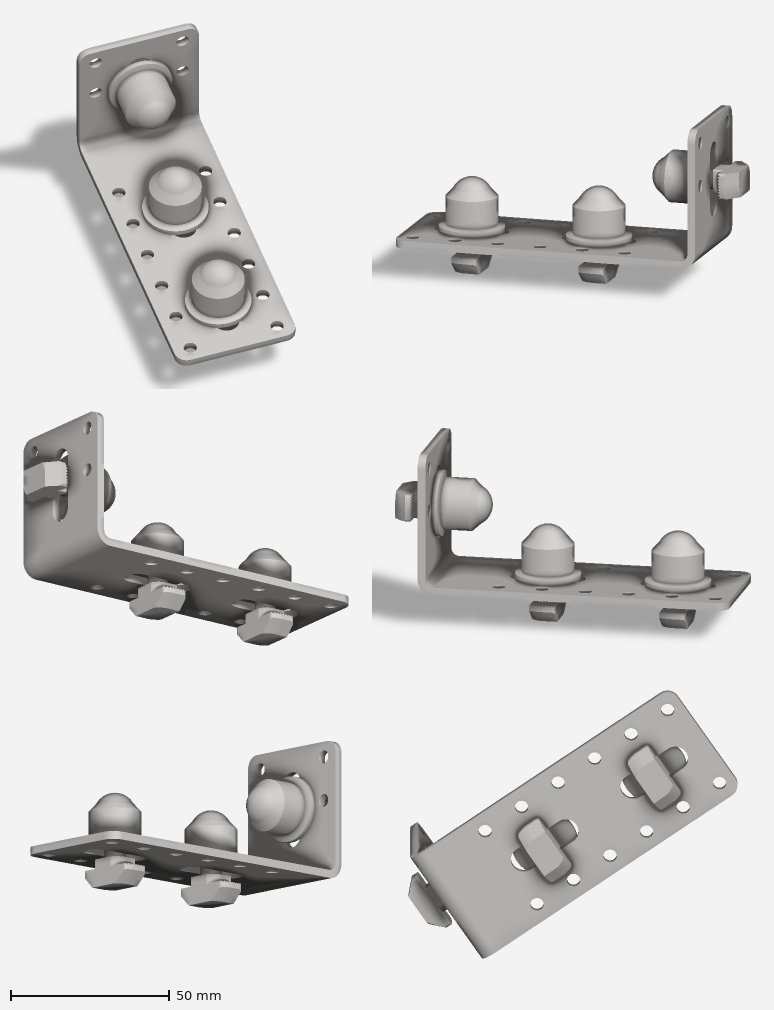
import cadquery as cq
import math

BASE_LENGTH = 100.0
WALL_HEIGHT = 45.0
BRACKET_WIDTH = 40.0
PLATE_THICKNESS = 2.5
BEND_OUTER_RADIUS = 5.0
BEND_INNER_RADIUS = BEND_OUTER_RADIUS - PLATE_THICKNESS
CORNER_RADIUS = 4.0

HOLE_DIAMETER = 4.2
HOLE_PITCH = 14.0
HOLE_END_MARGIN = 5.0
HOLE_ROW_SPACING = 29.0
BASE_HOLES_PER_ROW = 6
WALL_HOLES_PER_ROW = 2

SLOT_WIDTH = 8.0
SLOT_LENGTH = 24.2
BASE_SLOT_X = 37.9
BASE_SLOT_SPACING = 3 * HOLE_PITCH
BASE_SLOT_CENTRES = [BASE_SLOT_X, BASE_SLOT_X + BASE_SLOT_SPACING]
WALL_SLOT_Z = 25.0

FLANGE_DIAMETER = 21.0
FLANGE_RIM_HEIGHT = 1.7
KNOB_DIAMETER = 16.8
SHOULDER_TOP = 2.3
CYLINDER_TOP = 11.2
DOME_DIAMETER = 11.9
DOME_BASE = 13.9
KNOB_HEIGHT = 17.4

SCREW_DIAMETER = 6.5
NUT_GAP = 1.3

NUT_HEIGHT = 8.9
NUT_WIDTH = 8.5
NECK_LENGTH = 10.2
NECK_HEIGHT = 3.0
NECK_ROUND_RADIUS = 4.6
NECK_EDGE_RADIUS = 0.7
BAR_LENGTH = 19.7
BAR_SIDE_HEIGHT = 2.0
BAR_EDGE_RADIUS = 1.0
TOOTH_PITCH = 1.0
TOOTH_DEPTH = 0.7


def hole_centres(free_end, count):
    """Centres of both hole rows of a leg whose free end lies at the given distance."""
    return [
        (free_end - HOLE_END_MARGIN - step * HOLE_PITCH, side * HOLE_ROW_SPACING / 2)
        for step in range(count)
        for side in (-1, 1)
    ]


def make_bracket():
    profile = (
        cq.Workplane("XZ")
        .moveTo(BASE_LENGTH, 0)
        .lineTo(BEND_OUTER_RADIUS, 0)
        .radiusArc((0, BEND_OUTER_RADIUS), BEND_OUTER_RADIUS)
        .lineTo(0, WALL_HEIGHT)
        .lineTo(PLATE_THICKNESS, WALL_HEIGHT)
        .lineTo(PLATE_THICKNESS, BEND_OUTER_RADIUS)
        .radiusArc((BEND_OUTER_RADIUS, PLATE_THICKNESS), -BEND_INNER_RADIUS)
        .lineTo(BASE_LENGTH, PLATE_THICKNESS)
        .close()
    )
    bracket = profile.extrude(BRACKET_WIDTH / 2, both=True)
    bracket = bracket.faces(">X").edges("|Z").fillet(CORNER_RADIUS)
    bracket = bracket.faces(">Z").edges("|X").fillet(CORNER_RADIUS)

    base_cutter = (
        cq.Workplane("XY")
        .pushPoints(hole_centres(BASE_LENGTH, BASE_HOLES_PER_ROW))
        .circle(HOLE_DIAMETER / 2)
        .extrude(PLATE_THICKNESS)
        .pushPoints([(x, 0) for x in BASE_SLOT_CENTRES])
        .slot2D(SLOT_LENGTH, SLOT_WIDTH)
        .extrude(PLATE_THICKNESS)
    )
    wall_plane = cq.Plane(origin=(0, 0, 0), xDir=(0, 0, 1), normal=(1, 0, 0))
    wall_cutter = (
        cq.Workplane(wall_plane)
        .pushPoints(hole_centres(WALL_HEIGHT, WALL_HOLES_PER_ROW))
        .circle(HOLE_DIAMETER / 2)
        .extrude(PLATE_THICKNESS)
        .pushPoints([(WALL_SLOT_Z, 0)])
        .slot2D(SLOT_LENGTH, SLOT_WIDTH)
        .extrude(PLATE_THICKNESS)
    )
    return bracket.cut(base_cutter).cut(wall_cutter)




def make_knob():
    dome_radius = DOME_DIAMETER / 2
    dome_height = KNOB_HEIGHT - DOME_BASE
    sphere_radius = (dome_radius**2 + dome_height**2) / (2 * dome_height)
    profile = (
        cq.Workplane("XZ")
        .lineTo(FLANGE_DIAMETER / 2, 0)
        .lineTo(FLANGE_DIAMETER / 2, FLANGE_RIM_HEIGHT)
        .lineTo(KNOB_DIAMETER / 2, SHOULDER_TOP)
        .lineTo(KNOB_DIAMETER / 2, CYLINDER_TOP)
        .lineTo(dome_radius, DOME_BASE)
        .radiusArc((0, KNOB_HEIGHT), -sphere_radius)
        .close()
    )
    knob = profile.revolve(360, (0, 0, 0), (0, 1, 0))
    return knob.translate((0, 0, PLATE_THICKNESS))


def make_screw():
    return (
        cq.Workplane("XY", origin=(0, 0, -NUT_GAP))
        .circle(SCREW_DIAMETER / 2)
        .extrude(NUT_GAP + PLATE_THICKNESS)
    )


def turned_block(length, round_radius, bottom, top):
    """Block with flat ends in two opposite quarters and round ends in the other two."""
    half_width = NUT_WIDTH / 2
    half_length = length / 2
    round_drop = round_radius - math.sqrt(round_radius**2 - half_width**2)
    side_end = half_length - round_drop
    return (
        cq.Workplane("XY", origin=(0, 0, bottom))
        .moveTo(0, -half_length)
        .lineTo(half_width, -half_length)
        .lineTo(half_width, side_end)
        .radiusArc((0, half_length), -round_radius)
        .lineTo(-half_width, half_length)
        .lineTo(-half_width, -side_end)
        .radiusArc((0, -half_length), -round_radius)
        .close()
        .extrude(top - bottom)
    )


def bevel_envelope(bar_top, bar_bottom):
    """Bevelled outline of the bar: conical in the round quarters, sloping in the flat ones."""
    half_length = BAR_LENGTH / 2
    bevel_start = bar_top - BAR_SIDE_HEIGHT
    half_bottom = half_length - (bevel_start - bar_bottom)
    outline = [(0, bar_bottom), (half_bottom, bar_bottom), (half_length, bevel_start)]
    outline += [(half_length, bar_top), (0, bar_top)]
    envelope = cq.Workplane("XZ").polyline(outline).close().revolve(360, (0, 0, 0), (0, 1, 0))
    for side in (-1, 1):
        end_outline = [(-side * along, z) for along, z in outline]
        quarter = cq.Workplane("YZ").polyline(end_outline).close().extrude(side * NUT_WIDTH / 2)
        envelope = envelope.union(quarter)
    return envelope


def tooth_grooves(bar_top):
    """V grooves along the bar, with a tooth tip on the middle line."""
    side_count = math.ceil(NUT_WIDTH / 2 / TOOTH_PITCH)
    grooves = cq.Workplane("XZ")
    for step in range(-side_count, side_count):
        left = step * TOOTH_PITCH
        corners = [(left, bar_top), (left + TOOTH_PITCH, bar_top)]
        corners.append((left + TOOTH_PITCH / 2, bar_top - TOOTH_DEPTH))
        grooves = grooves.polyline(corners).close()
    return grooves.extrude(BAR_LENGTH, both=True)


def make_nut():
    nut_top = -NUT_GAP
    nut_bottom = nut_top - NUT_HEIGHT
    bar_top = nut_top - NECK_HEIGHT
    bar = turned_block(BAR_LENGTH, BAR_LENGTH / 2, nut_bottom, bar_top)
    bar = bar.edges("|Z and (>X or <X)").fillet(BAR_EDGE_RADIUS)
    bar = bar.intersect(bevel_envelope(bar_top, nut_bottom))
    bar = bar.cut(tooth_grooves(bar_top))
    neck = turned_block(NECK_LENGTH, NECK_ROUND_RADIUS, bar_top - TOOTH_DEPTH, nut_top)
    neck = neck.edges("(>X and <Y) or (<X and >Y)").fillet(NECK_EDGE_RADIUS)
    return bar.union(neck)


def place_on_base(body, x):
    return body.translate((x, 0, 0))


def place_on_wall(body):
    """Turn the body's axis from Z to X and lift it to the wall slot."""
    turned = body.rotate((0, 0, 0), (0, 1, 0), 90)
    return turned.translate((0, 0, WALL_SLOT_Z))


bodies = [make_bracket().val()]
for body in (make_knob(), make_screw(), make_nut()):
    for slot_x in BASE_SLOT_CENTRES:
        bodies.append(place_on_base(body, slot_x).val())
    bodies.append(place_on_wall(body).val())

result = cq.Compound.makeCompound(bodies)